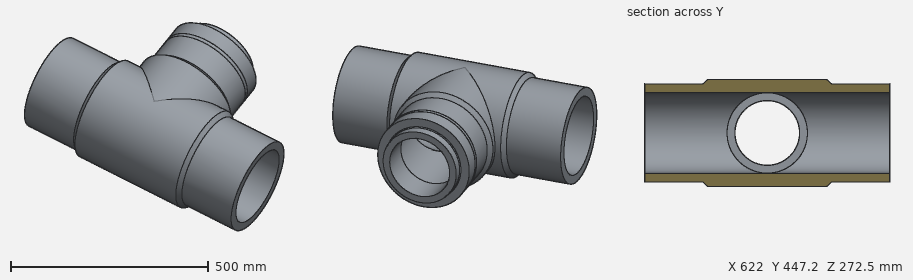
import cadquery as cq

run_length = 622.0
half_run = run_length / 2
pipe_radius = 250.0 / 2
sleeve_radius = 272.5 / 2
bore_radius = 204.0 / 2
run_sleeve_reach = 163.0
branch_sleeve_reach = 161.0
sleeve_chamfer = sleeve_radius - pipe_radius
branch_joint = 234.0

groove_width = 10.0
groove_depth = 0.3
collar_end = 285.0
spigot_end = 311.0
spigot_radius = 199.5 / 2
spigot_root_radius = 204.5 / 2
spigot_root_chamfer = spigot_root_radius - spigot_radius
adapter_bore_radius = 163.5 / 2


def outer_end(axis_plane):
    """Selector for the outer end face of an arm built on the given plane."""
    return cq.DirectionMinMaxSelector(axis_plane.zDir, True)


def make_arm(axis_plane, arm_length, sleeve_reach):
    """Solid arm from the tee centre: chamfered sleeve followed by plain pipe."""
    pipe = cq.Workplane(axis_plane).circle(pipe_radius).extrude(arm_length)
    sleeve = (
        cq.Workplane(axis_plane)
        .circle(sleeve_radius)
        .extrude(sleeve_reach)
        .faces(outer_end(axis_plane))
        .chamfer(sleeve_chamfer)
    )
    return pipe.union(sleeve)


def make_tee():
    right_plane = cq.Plane(origin=(0, 0, 0), xDir=(0, 1, 0), normal=(1, 0, 0))
    left_plane = cq.Plane(origin=(0, 0, 0), xDir=(0, 1, 0), normal=(-1, 0, 0))
    branch_plane = cq.Plane(origin=(0, 0, 0), xDir=(1, 0, 0), normal=(0, 1, 0))
    arms = [
        (right_plane, half_run, run_sleeve_reach),
        (left_plane, half_run, run_sleeve_reach),
        (branch_plane, branch_joint, branch_sleeve_reach),
    ]

    tee = cq.Workplane("XY")
    for axis_plane, arm_length, sleeve_reach in arms:
        tee = tee.union(make_arm(axis_plane, arm_length, sleeve_reach))
    for axis_plane, arm_length, _ in arms:
        tee = tee.cut(cq.Workplane(axis_plane).circle(bore_radius).extrude(arm_length))
    return tee


def make_adapter():
    """Ring at the branch end, revolved about Y from its radius-length profile."""
    groove_radius = pipe_radius - groove_depth
    groove_end = branch_joint + groove_width
    profile = [
        (adapter_bore_radius, branch_joint),
        (groove_radius, branch_joint),
        (groove_radius, groove_end),
        (pipe_radius, groove_end),
        (pipe_radius, collar_end),
        (spigot_root_radius, collar_end),
        (spigot_radius, collar_end + spigot_root_chamfer),
        (spigot_radius, spigot_end),
        (adapter_bore_radius, spigot_end),
    ]
    return cq.Workplane("XY").polyline(profile).close().revolve(360, (0, 0, 0), (0, 1, 0))


tee = make_tee()
adapter = make_adapter()

result = cq.Compound.makeCompound([*tee.solids().vals(), adapter.val()])